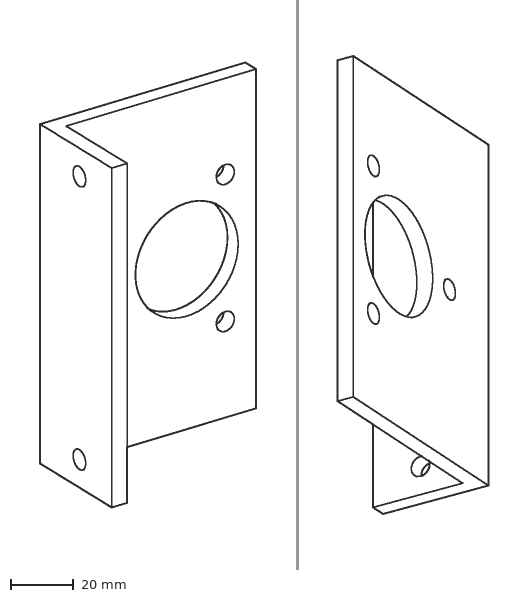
import cadquery as cq

height = 120.0
foot_width = height / 3
plate_depth = 2 * foot_width
thickness = 6.0

screw_diameter = 7.0
foot_hole_x = 22.0
foot_hole_end_distance = 10.0

opening_diameter = foot_width
opening_y = 53.0
opening_z = height / 2
bolt_circle_radius = 30.0
bolt_count = 3
first_bolt_angle = 180.0


def angle_body():
    """Two perpendicular legs meeting along the Z axis."""
    foot = cq.Workplane("XY").box(foot_width, thickness, height, centered=False)
    plate = cq.Workplane("XY").box(thickness, plate_depth, height, centered=False)
    return foot.union(plate)


def foot_holes():
    """Screw holes through the short leg, one near each end."""
    centers = [
        (foot_hole_x, foot_hole_end_distance),
        (foot_hole_x, height - foot_hole_end_distance),
    ]
    return cq.Workplane("XZ").pushPoints(centers).circle(screw_diameter / 2).extrude(-thickness)


def plate_holes():
    """Large opening surrounded by evenly spaced screw holes."""
    center_plane = cq.Workplane("YZ").center(opening_y, opening_z)
    opening = center_plane.circle(opening_diameter / 2).extrude(thickness)
    screws = (
        center_plane.polarArray(bolt_circle_radius, first_bolt_angle, 360, bolt_count)
        .circle(screw_diameter / 2)
        .extrude(thickness)
    )
    return opening.union(screws)


result = angle_body().cut(foot_holes()).cut(plate_holes())